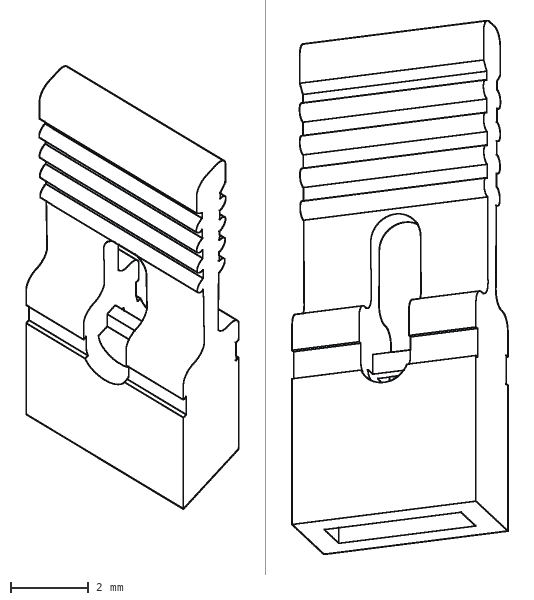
import cadquery as cq

width = 5.05
base_depth = 2.39
height = 13.5

round_radius = 0.42
shoulder_z = 5.89
groove_bottom_z = 4.0
groove_top_z = 4.78
groove_depth = 0.12

blade_foot_half = 0.3
blade_neck_half = 0.39
head_half = 0.62
head_bottom_z = 12.3
neck_z = 12.07

ridge_count = 4
ridge_radius = 0.25
ridge_pitch = 0.89
first_ridge_z = 8.9

slot_width = 1.36
slot_bottom_z = 3.58
slot_top_z = 8.49

wall = 0.65
socket_depth = base_depth - 2 * wall
socket_width = width - 2 * wall
socket_height = 4.24
bar_depth = 0.35
bar_top_z = groove_top_z


def centred_box(size_x, size_y, bottom_z, top_z):
    box = cq.Workplane("XY").box(size_x, size_y, top_z - bottom_z, centered=(True, True, False))
    return box.translate((0, 0, bottom_z))


def blade_half(z):
    """Half thickness of the tapered blade at height z."""
    foot_z = shoulder_z + round_radius
    rise = (z - foot_z) / (neck_z - foot_z)
    return blade_foot_half + rise * (blade_neck_half - blade_foot_half)


def half_body():
    """The +Y half of the outer profile, extruded across the width."""
    base_half = base_depth / 2
    groove_half = base_half - groove_depth
    fillet_end = blade_foot_half + round_radius
    return (
        cq.Workplane("YZ")
        .lineTo(base_half, 0)
        .lineTo(base_half, groove_bottom_z)
        .lineTo(groove_half, groove_bottom_z)
        .lineTo(groove_half, groove_top_z)
        .lineTo(base_half, groove_top_z)
        .lineTo(base_half, shoulder_z - round_radius)
        .radiusArc((base_half - round_radius, shoulder_z), -round_radius)
        .lineTo(fillet_end, shoulder_z)
        .radiusArc((blade_foot_half, shoulder_z + round_radius), round_radius)
        .lineTo(blade_neck_half, neck_z)
        .lineTo(head_half, head_bottom_z)
        .lineTo(head_half, height - round_radius)
        .radiusArc((head_half - round_radius, height), -round_radius)
        .lineTo(0, height)
        .close()
        .extrude(width / 2, both=True)
    )


def ridge(z):
    """Round bar across the width, centred on the blade's +Y face."""
    return cq.Workplane("YZ").center(blade_half(z), z).circle(ridge_radius).extrude(width / 2, both=True)


def slot():
    length = slot_top_z - slot_bottom_z
    middle_z = (slot_top_z + slot_bottom_z) / 2
    return (
        cq.Workplane("XZ")
        .center(0, middle_z)
        .slot2D(length, slot_width, 90)
        .extrude(base_depth, both=True)
    )


half = half_body()
for index in range(ridge_count):
    half = half.union(ridge(first_ridge_z + index * ridge_pitch))

body = half.union(half.mirror("XZ"))
body = body.cut(slot())
body = body.cut(centred_box(socket_width, socket_depth, 0, socket_height))
result = body.union(centred_box(slot_width, bar_depth, socket_height, bar_top_z))